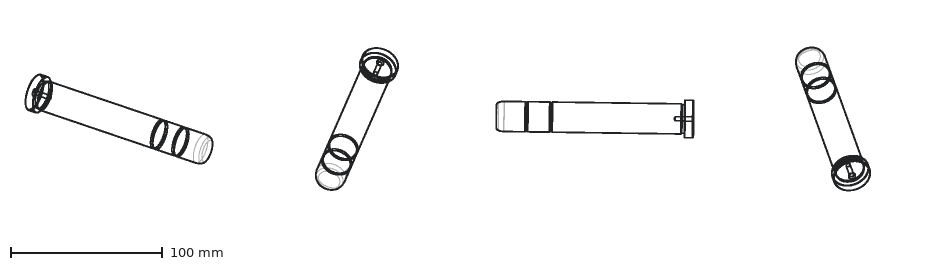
import cadquery as cq
import math

length = 130.0
head_radius = 12.5
head_thickness = 6.0
head_chamfer = 0.5
head_back_chamfer = 0.3
shank_radius = 10.0

relief_radius = 9.5
relief_end = 7.7

groove_centers = (94.0, 110.1)
groove_width = 1.8
groove_depth = 0.8

nose_length = 5.0
nose_arc_radius = 9.1
nose_round = 2.1

hole_diameter = 2.7
hole_mouth = 4.7
hole_depth = 12.0
drill_point_angle = math.radians(118)


def make_body():
    """Revolve the stepped half profile, leaving out the grooves."""
    nose_start = length - nose_length
    nose_arc_center = shank_radius - nose_arc_radius
    tip_radius = nose_arc_center + math.sqrt(nose_arc_radius**2 - nose_length**2)
    nose_middle = nose_length / 2
    nose_middle_radius = nose_arc_center + math.sqrt(nose_arc_radius**2 - nose_middle**2)
    relief_ramp = shank_radius - relief_radius
    profile = [
        (0, 0),
        (0, head_radius - head_chamfer),
        (head_chamfer, head_radius),
        (head_thickness - head_back_chamfer, head_radius),
        (head_thickness, head_radius - head_back_chamfer),
        (head_thickness, relief_radius),
        (relief_end, relief_radius),
        (relief_end + relief_ramp, shank_radius),
        (nose_start, shank_radius),
    ]
    outline = (
        cq.Workplane("XY")
        .polyline(profile)
        .threePointArc((nose_start + nose_middle, nose_middle_radius), (length, tip_radius))
        .lineTo(length, 0)
        .close()
    )
    body = outline.revolve(360, (0, 0, 0), (1, 0, 0))
    return body.faces(">X").edges().fillet(nose_round)


def make_groove(center):
    """Ring with a V-shaped section."""
    floor_radius = shank_radius - groove_depth
    profile = [
        (center - groove_width / 2, shank_radius),
        (center, floor_radius),
        (center + groove_width / 2, shank_radius),
    ]
    return cq.Workplane("XY").polyline(profile).close().revolve(360, (0, 0, 0), (1, 0, 0))


def make_face_hole():
    """Blind axial hole with a 45 degree countersink and a conical drill point."""
    radius = hole_diameter / 2
    mouth_radius = hole_mouth / 2
    point_length = radius / math.tan(drill_point_angle / 2)
    profile = [
        (0, 0),
        (0, mouth_radius),
        (mouth_radius - radius, radius),
        (hole_depth, radius),
        (hole_depth + point_length, 0),
    ]
    return cq.Workplane("XY").polyline(profile).close().revolve(360, (0, 0, 0), (1, 0, 0))


result = make_body().cut(make_face_hole())
for groove_center in groove_centers:
    result = result.cut(make_groove(groove_center))